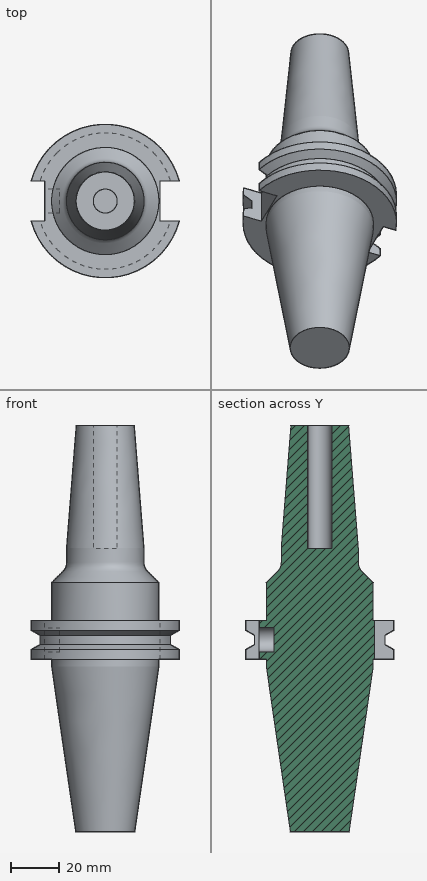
import cadquery as cq
import math

total_height = 168.2
taper_height = 68.3
flange_bottom = 71.3
flange_top = 87.5
body_top = 103.1
nose_cone_bottom = 117.3

body_diameter = 44.5
taper_ratio = 7 / 24
neck_diameter = 32.1
tip_diameter = 24.0
neck_fillet_radius = 5.0

flange_diameter = 63.6
groove_root_diameter = 56.5
groove_root_width = 3.9
groove_flank_angle = 30.0

slot_width = 16.5
left_slot_floor = 25.0
right_slot_floor = 22.7

bore_diameter = 10.0
bore_depth = total_height - nose_cone_bottom
dimple_diameter = 10.0
dimple_depth = 6.0

body_radius = body_diameter / 2
neck_radius = neck_diameter / 2
flange_radius = flange_diameter / 2
flange_middle = (flange_bottom + flange_top) / 2
flange_height = flange_top - flange_bottom


def make_turned_body():
    """Taper, body and nose as one revolved profile, in (radius, height)."""
    taper_end_radius = (body_diameter - taper_height * taper_ratio) / 2

    slope = math.radians(45)
    shoulder_corner = body_top + (body_radius - neck_radius)
    fillet_top = shoulder_corner + neck_fillet_radius * math.tan(slope / 2)

    def fillet_point(angle):
        return (
            neck_radius + neck_fillet_radius * (1 - math.cos(angle)),
            fillet_top - neck_fillet_radius * math.sin(angle),
        )

    return (
        cq.Workplane("XZ")
        .lineTo(taper_end_radius, 0)
        .lineTo(body_radius, taper_height)
        .lineTo(body_radius, body_top)
        .lineTo(*fillet_point(slope))
        .threePointArc(fillet_point(slope / 2), fillet_point(0))
        .lineTo(neck_radius, nose_cone_bottom)
        .lineTo(tip_diameter / 2, total_height)
        .lineTo(0, total_height)
        .close()
        .revolve(360, (0, 0, 0), (0, 1, 0))
    )


def make_flange():
    """Grooved flange disc, in (radius, height)."""
    groove_root_radius = groove_root_diameter / 2
    groove_depth = flange_radius - groove_root_radius
    root_half = groove_root_width / 2
    mouth_half = root_half + groove_depth * math.tan(math.radians(groove_flank_angle))
    return (
        cq.Workplane("XZ")
        .moveTo(0, flange_bottom)
        .lineTo(flange_radius, flange_bottom)
        .lineTo(flange_radius, flange_middle - mouth_half)
        .lineTo(groove_root_radius, flange_middle - root_half)
        .lineTo(groove_root_radius, flange_middle + root_half)
        .lineTo(flange_radius, flange_middle + mouth_half)
        .lineTo(flange_radius, flange_top)
        .lineTo(0, flange_top)
        .close()
        .revolve(360, (0, 0, 0), (0, 1, 0))
    )


def make_drive_slot(floor_distance, side):
    """Slot cutter reaching from its floor to the flange rim; side is -1 or +1 along X."""
    length = flange_radius - floor_distance
    center_x = side * (floor_distance + length / 2)
    return (
        cq.Workplane("XY")
        .box(length, slot_width, flange_height)
        .translate((center_x, 0, flange_middle))
    )


def make_bore():
    """Tool bore running down from the tip."""
    return (
        cq.Workplane("XY", origin=(0, 0, total_height))
        .circle(bore_diameter / 2)
        .extrude(-bore_depth)
    )


def make_dimple():
    """Round blind hole in the floor of the -X drive slot."""
    return (
        cq.Workplane("YZ", origin=(-left_slot_floor, 0, flange_middle))
        .circle(dimple_diameter / 2)
        .extrude(dimple_depth)
    )


result = (
    make_turned_body()
    .union(make_flange())
    .cut(make_drive_slot(left_slot_floor, -1))
    .cut(make_drive_slot(right_slot_floor, 1))
    .cut(make_bore())
    .cut(make_dimple())
)